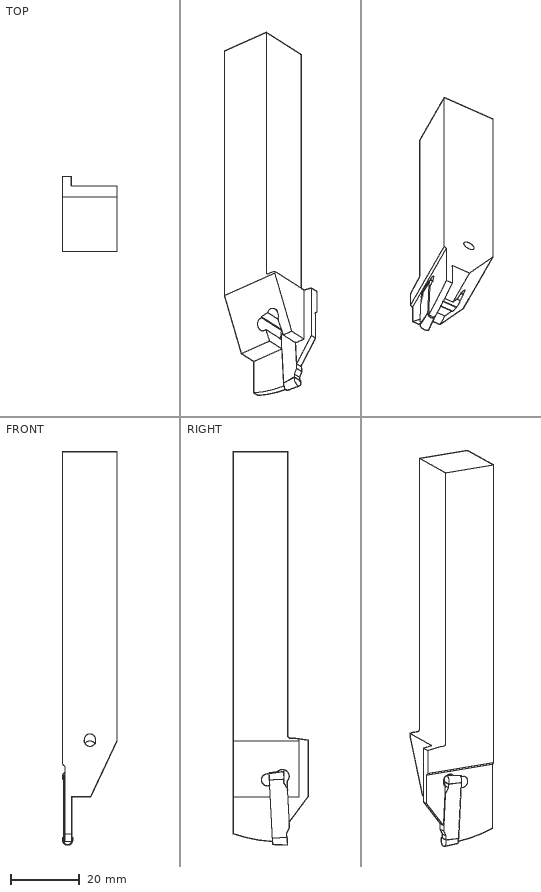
import cadquery as cq
import math

length = 114.5
shank = 15.9
full_depth = 21.9
head_depth = 19.1
head_bottom = 14.1
taper_top = 30.3
taper_foot = 8.2
blade_face = 0.7
blade_back = 2.6
relief_top = 23.6
relief_slope = 0.7

shoulder_flat = 31.1
shoulder_bend = 18.0
shoulder_slope = 8.0
shoulder_fillet = 0.7
back_corner = 14.2
back_foot = (16.3, 6.6)
nose_front = (0.0, 3.3)
nose_middle = (6.0, 1.7)
nose_end = (11.8, 1.0)

coolant_diameter = 3.3
coolant_x = 8.0
coolant_z = 30.6
coolant_tilt = 25.0
coolant_length = 4.1

insert_tilt = 3.0
insert_half_length = 10.8
insert_width = 5.2
insert_y = 13.5
body_face = 0.3
body_thickness = 2.4
neck_start = 5.7
neck_end = 7.3
neck_inset = 0.9
rake_inset = 0.8
tip_radius = 1.5
edge_length = 2.3
end_clearance = 5.0

pocket_end_gap = 0.1
clamp_relief = (14.3, 20.0, 2.0)
seat_relief = (10.0, 19.0, 1.7)

half_width = insert_width / 2
rake = half_width - rake_inset
end_depth = rake + half_width
insert_x = body_face + body_thickness / 2
insert_tilt_rad = math.radians(insert_tilt)
insert_z = insert_half_length * math.cos(insert_tilt_rad) - rake * math.sin(insert_tilt_rad)


def place_insert(shape):
    """Tilt a shape made around the origin and move it to the insert's seat."""
    return shape.rotate((0, 0, 0), (1, 0, 0), insert_tilt).translate((insert_x, insert_y, insert_z))


def side_profile():
    """Outline of shank, head and blade in YZ, as a solid over the full width."""
    shoulder_end = shoulder_flat - (full_depth - shoulder_bend) * math.tan(math.radians(shoulder_slope))
    return (
        cq.Workplane("YZ")
        .moveTo(0, length)
        .lineTo(shank, length)
        .lineTo(shank, shoulder_flat + shoulder_fillet)
        .radiusArc((shank + shoulder_fillet, shoulder_flat), -shoulder_fillet)
        .lineTo(shoulder_bend, shoulder_flat)
        .lineTo(full_depth, shoulder_end)
        .lineTo(full_depth, back_corner)
        .lineTo(*back_foot)
        .lineTo(*nose_end)
        .threePointArc(nose_middle, nose_front)
        .close()
        .extrude(shank)
    )


def thick_profile():
    """XZ outline of the shank and head, down to the underside of the head."""
    return (
        cq.Workplane("XZ")
        .polyline([
            (0, length),
            (shank, length),
            (shank, taper_top),
            (taper_foot, head_bottom),
            (0, head_bottom),
        ])
        .close()
        .extrude(-head_depth)
    )


def blade_slab():
    return cq.Workplane("XY").box(blade_back, full_depth, length, centered=False)


def side_relief():
    """Cut that sets the lower part of the -X side back to the blade face."""
    return (
        cq.Workplane("XZ")
        .polyline([
            (0, relief_top),
            (blade_face, relief_top - relief_slope),
            (blade_face, 0),
            (0, 0),
        ])
        .close()
        .extrude(-full_depth)
    )


def relief_bore(y, z, radius):
    return cq.Workplane("YZ").center(y, z).circle(radius).extrude(shank)


def insert_pocket():
    """Slot with a sloped closed end and two relief bores there, open at the bottom."""
    slot_top = insert_half_length + pocket_end_gap
    slope_drop = end_depth * math.tan(math.radians(end_clearance))
    slot = (
        cq.Workplane("YZ")
        .polyline([
            (half_width, -insert_half_length),
            (half_width, slot_top),
            (rake, slot_top),
            (-half_width, slot_top - slope_drop),
            (-half_width, -insert_half_length),
        ])
        .close()
        .extrude(shank, both=True)
    )
    slot = place_insert(slot)
    return slot.union(relief_bore(*clamp_relief)).union(relief_bore(*seat_relief))


def coolant_hole():
    tilt = math.radians(coolant_tilt)
    direction = cq.Vector(0, math.cos(tilt), -math.sin(tilt))
    mouth = cq.Vector(coolant_x, 0, coolant_z)
    start = mouth - direction * coolant_diameter
    return cq.Workplane(
        cq.Solid.makeCylinder(coolant_diameter / 2, coolant_length + coolant_diameter, start, direction)
    )


def make_holder():
    holder = side_profile().intersect(thick_profile().union(blade_slab()))
    return holder.cut(side_relief()).cut(insert_pocket()).cut(coolant_hole())


def cutting_end():
    """Full-radius lower cutting end, with its flanks tapering away from the rake face."""
    foot_radius = tip_radius - end_depth * math.tan(math.radians(end_clearance))
    centre = tip_radius - insert_half_length
    top = edge_length - insert_half_length
    end = cq.Workplane("XZ", origin=(0, rake, 0))
    for radius, step in ((tip_radius, 0), (foot_radius, end_depth)):
        end = (
            end.workplane(offset=step)
            .moveTo(-radius, top)
            .lineTo(-radius, centre)
            .threePointArc((0, centre - radius), (radius, centre))
            .lineTo(radius, top)
            .close()
        )
    return end.loft(ruled=True, combine=True)


def make_insert():
    """Double-ended insert: a body with a narrower neck and a cutting end at each end."""
    neck = half_width - neck_inset
    body_end = insert_half_length - edge_length
    body = (
        cq.Workplane("YZ")
        .polyline([
            (-half_width, -body_end),
            (neck, -body_end),
            (neck, -neck_end),
            (half_width, -neck_start),
            (half_width, neck_start),
            (neck, neck_end),
            (neck, body_end),
            (-half_width, body_end),
        ])
        .close()
        .extrude(body_thickness / 2, both=True)
    )
    lower_end = cutting_end()
    return place_insert(body.union(lower_end).union(lower_end.mirror("XY")))


holder = make_holder()
insert = make_insert()
result = cq.Compound.makeCompound([holder.solids().val(), insert.solids().val()])